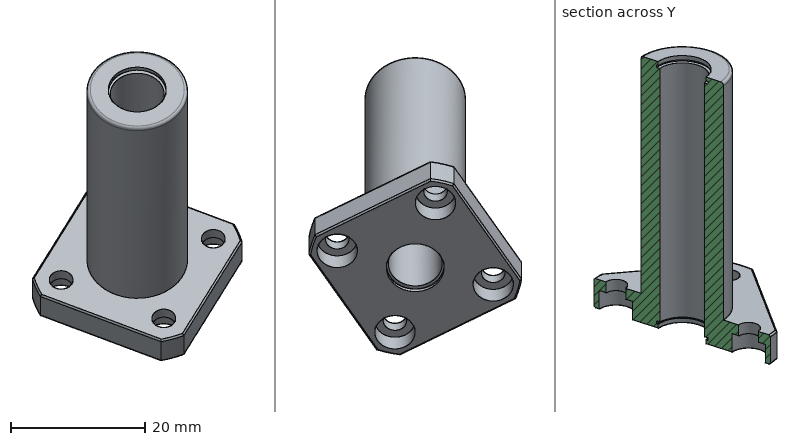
import cadquery as cq

total_height = 45.0
flange_diameter = 32.0
flange_across_flats = 25.0
flange_thickness = 5.0
flange_chamfer = 0.25

sleeve_diameter = 15.0
sleeve_edge_radius = 0.5
bore_diameter = 8.0
mouth_diameter = 8.6
mouth_depth = 0.7
groove_diameter = 9.2
groove_width = 0.35

hole_diameter = 3.5
hole_circle_diameter = 24.0
hole_count = 4
counterbore_diameter = 6.0
counterbore_depth = 3.1


def make_flange():
    """Disc trimmed to a square turned by 45 degrees, leaving rounded corners."""
    disc = cq.Workplane("XY").circle(flange_diameter / 2).extrude(flange_thickness)
    square = (
        cq.Workplane("XY")
        .rect(flange_across_flats, flange_across_flats)
        .extrude(flange_thickness)
        .rotate((0, 0, 0), (0, 0, 1), 45)
    )
    return disc.intersect(square).faces("<Z or >Z").edges().chamfer(flange_chamfer)


def make_sleeve():
    """Plain cylinder with a rounded upper rim."""
    sleeve = cq.Workplane("XY").circle(sleeve_diameter / 2).extrude(total_height)
    return sleeve.faces(">Z").edges().fillet(sleeve_edge_radius)


def make_bore():
    """Through bore with a wider mouth and an undercut groove behind it at each end."""
    bore = cq.Workplane("XY").circle(bore_diameter / 2).extrude(total_height)
    mouth = cq.Workplane("XY").circle(mouth_diameter / 2).extrude(mouth_depth)
    groove = (
        cq.Workplane("XY")
        .workplane(offset=mouth_depth)
        .circle(groove_diameter / 2)
        .extrude(groove_width)
    )
    lower_end = mouth.union(groove)
    upper_end = lower_end.mirror("XY").translate((0, 0, total_height))
    return bore.union(lower_end).union(upper_end)


def make_mounting_holes():
    """Counterbored holes spread over the four flange corners."""
    centres = cq.Workplane("XY").polarArray(hole_circle_diameter / 2, 0, 360, hole_count)
    holes = centres.circle(hole_diameter / 2).extrude(flange_thickness)
    counterbores = centres.circle(counterbore_diameter / 2).extrude(counterbore_depth)
    return holes.union(counterbores)


body = make_flange().union(make_sleeve())
result = body.cut(make_bore()).cut(make_mounting_holes())